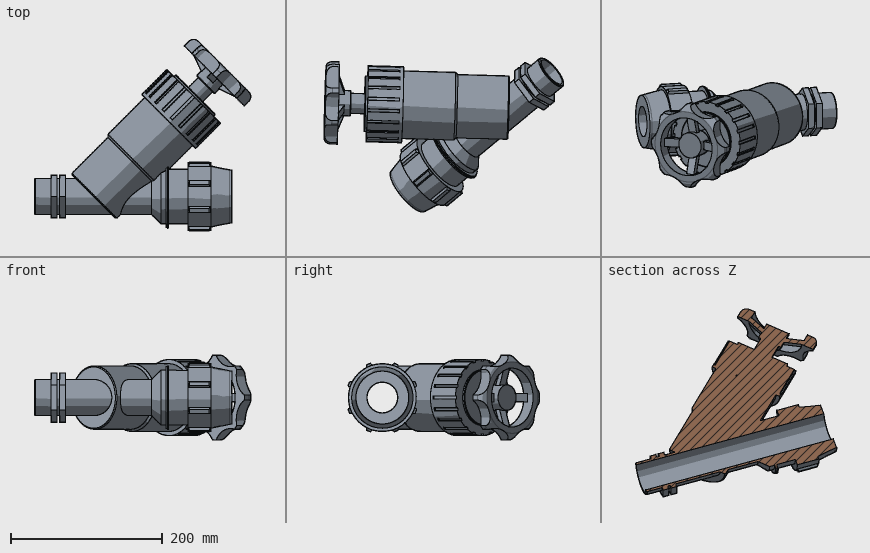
import cadquery as cq
import math

pipe_radius = 47.8 / 2
bore_radius = 40.0 / 2
pipe_end_chamfer = 1.0
pipe_end = 259.5

hex_across_flats = 56.5
hex_width = 8.0
hex_starts = (21.5, 32.7)

cone_start = 154.0
socket_radius = 72.0 / 2
cone_end = cone_start + socket_radius - pipe_radius
collar_start = 173.0
collar_width = 3.5
collar_radius = 83.7 / 2
collar_step_radius = 41.0

union_nut_start = 201.8
union_nut_end = 232.0
union_nut_radius = 89.5 / 2
sleeve_start_radius = 40.5
sleeve_end_radius = 35.3
sleeve_rim_width = 2.8
sleeve_rim_drop = 0.5

rib_count = 8
rib_top_radius = 47.8
rib_base_width = 9.0
rib_top_width = 5.5
rib_end_slope = 2.3
rib_sink = 0.9

branch_start = 77.7
branch_angle = 45
body_radius = 83.7 / 2
body_chamfer = 1.5
shoulder_height = 68.3
bonnet_radius = 89.5 / 2
bonnet_nut_bottom = 139.8
bonnet_nut_top = 186.5
bonnet_nut_radius = 100.5 / 2
cap_radius = 73.7 / 2
cap_top = 190.0
cap_chamfer = 0.9
stem_radius = 26.8 / 2

groove_count = 20
groove_width = 4.0
groove_depth = 2.0
groove_bottom = 144.5

hub_radius = 33.5 / 2
hub_bottom = 208.0
hub_chamfer = 0.9
hub_top = 232.3
wheel_bottom = 224.5
wheel_top = 242.0
wheel_radius = 112.0 / 2
wheel_edge_round = 8.8
wheel_opening_radius = 38.7
lobe_count = 8
lobe_tip_width = 6.8
scallop_floor_radius = 46.7

spoke_count = 4
spoke_width = 11.0
spoke_height = 7.5
spoke_hub_bottom = 217.0


def revolved(profile):
    """Solid of revolution about Z from (radius, height) points; the axis closes the profile."""
    points = [(0, profile[0][1])] + profile + [(0, profile[-1][1])]
    return cq.Workplane("XZ").polyline(points).close().revolve(360, (0, 0), (0, 1))


def around_axis(solid, count, first_angle=0):
    """Copies of a solid evenly spaced about Z."""
    copies = cq.Workplane("XY")
    for index in range(count):
        copies = copies.add(solid.rotate((0, 0, 0), (0, 0, 1), first_angle + index * 360 / count))
    return copies.combine()


def make_pipe():
    pipe = revolved([
        (pipe_radius - pipe_end_chamfer, 0),
        (pipe_radius, pipe_end_chamfer),
        (pipe_radius, cone_start),
        (socket_radius, cone_end),
        (socket_radius, collar_start),
        (collar_step_radius, collar_start),
        (collar_step_radius, collar_start + collar_width / 2),
        (collar_radius, collar_start + collar_width / 2),
        (collar_radius, collar_start + collar_width),
        (socket_radius, collar_start + collar_width),
        (socket_radius, union_nut_start),
        (union_nut_radius, union_nut_start),
        (union_nut_radius, union_nut_end),
        (sleeve_start_radius, union_nut_end),
        (sleeve_end_radius, pipe_end - sleeve_rim_width),
        (sleeve_end_radius - sleeve_rim_drop, pipe_end),
    ])
    hex_across_corners = hex_across_flats / math.cos(math.pi / 6)
    for start in hex_starts:
        flange = cq.Workplane("XY", origin=(0, 0, start)).polygon(6, hex_across_corners).extrude(hex_width)
        pipe = pipe.union(flange)
    return pipe.union(make_nut_ribs())


def make_nut_ribs():
    """Grip ribs of the union nut: each tapers to a smaller rectangular top."""
    length = union_nut_end - union_nut_start
    base_radius = union_nut_radius - rib_sink
    rib = (
        cq.Workplane("YZ", origin=(base_radius, 0, (union_nut_start + union_nut_end) / 2))
        .rect(rib_base_width, length)
        .workplane(offset=rib_top_radius - base_radius)
        .rect(rib_top_width, length - 2 * rib_end_slope)
        .loft(ruled=True)
    )
    return around_axis(rib, rib_count, 180 / rib_count)


def make_bonnet():
    shoulder_step = bonnet_radius - body_radius
    bonnet = revolved([
        (body_radius - body_chamfer, 0),
        (body_radius, body_chamfer),
        (body_radius, shoulder_height),
        (bonnet_radius, shoulder_height + shoulder_step),
        (bonnet_radius, bonnet_nut_bottom),
        (bonnet_nut_radius, bonnet_nut_bottom),
        (bonnet_nut_radius, bonnet_nut_top),
        (cap_radius, bonnet_nut_top),
        (cap_radius, cap_top - cap_chamfer),
        (cap_radius - cap_chamfer, cap_top),
        (stem_radius, cap_top),
        (stem_radius, hub_bottom),
        (hub_radius - hub_chamfer, hub_bottom),
        (hub_radius, hub_bottom + hub_chamfer),
        (hub_radius, hub_top),
    ])
    groove = cq.Workplane("XY").box(
        2 * groove_depth, groove_width, bonnet_nut_top - groove_bottom, centered=(True, True, False)
    ).translate((bonnet_nut_radius, 0, groove_bottom))
    return bonnet.cut(around_axis(groove, groove_count))


def wheel_cylinder(radius, offset=0):
    """Cylinder as tall as the handwheel rim, moved off the wheel axis by the offset."""
    base = cq.Workplane("XY", origin=(offset, 0, wheel_bottom))
    return base.circle(radius).extrude(wheel_top - wheel_bottom)


def make_handwheel():
    half_gap_angle = math.pi / lobe_count - math.asin(lobe_tip_width / 2 / wheel_radius)
    half_chord = wheel_radius * math.sin(half_gap_angle)
    sagitta = wheel_radius * math.cos(half_gap_angle) - scallop_floor_radius
    scallop_radius = (half_chord ** 2 + sagitta ** 2) / (2 * sagitta)
    scallop = wheel_cylinder(scallop_radius, scallop_floor_radius + scallop_radius)

    disc = wheel_cylinder(wheel_radius).faces(">Z").edges().fillet(wheel_edge_round)
    rim = disc.cut(wheel_cylinder(wheel_opening_radius))
    rim = rim.cut(around_axis(scallop, lobe_count, 180 / lobe_count))
    return rim.union(make_spokes())


def make_spokes():
    """Spokes rise from the hub to the underside of the rim."""
    slope = (wheel_bottom - spoke_hub_bottom) / (wheel_opening_radius - hub_radius)
    inner = hub_radius / 2
    outer = (wheel_opening_radius + scallop_floor_radius) / 2
    inner_bottom = spoke_hub_bottom - slope * (hub_radius - inner)
    outer_top = wheel_bottom + spoke_height + slope * (outer - wheel_opening_radius)
    spoke = (
        cq.Workplane("XZ")
        .polyline([
            (inner, inner_bottom),
            (wheel_opening_radius, wheel_bottom),
            (outer, wheel_bottom),
            (outer, outer_top),
            (inner, inner_bottom + spoke_height),
        ])
        .close()
        .extrude(spoke_width / 2, both=True)
    )
    return around_axis(spoke, spoke_count)


pipe = make_pipe().rotate((0, 0, 0), (0, 1, 0), 90)
branch = (
    make_bonnet().union(make_handwheel())
    .rotate((0, 0, 0), (0, 1, 0), 90)
    .rotate((0, 0, 0), (0, 0, 1), branch_angle)
    .translate((branch_start, 0, 0))
)
bore = cq.Workplane("YZ").circle(bore_radius).extrude(pipe_end)

result = pipe.union(branch).cut(bore)